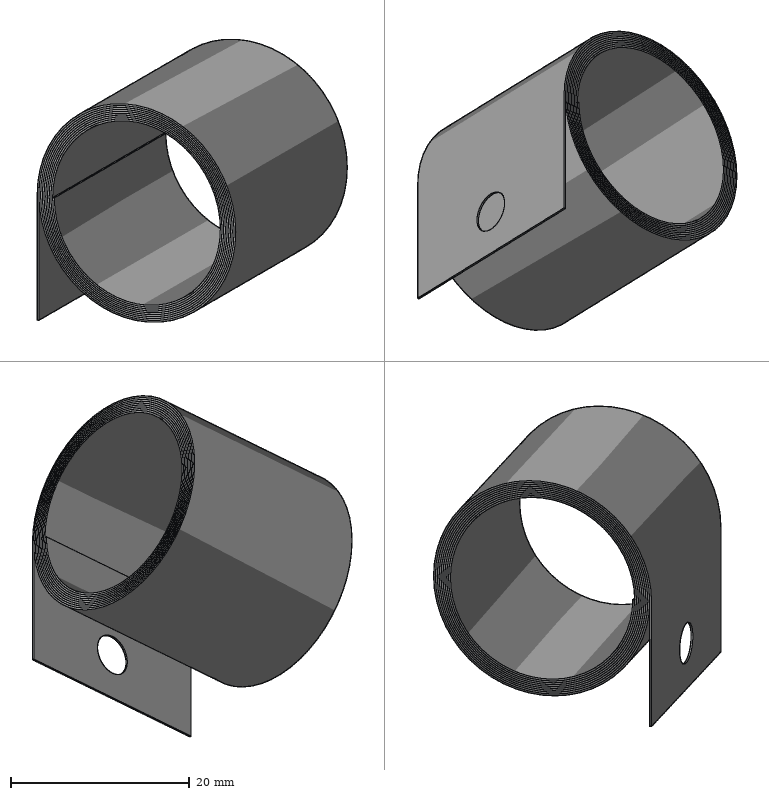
import cadquery as cq
import math

strip_width = 25.0
strip_thickness = 0.22
winding_gap = 0.003
turns = 9
bore_radius = 10.7
tail_length = 14.95
hole_diameter = 4.7
hole_to_tail_end = 5.52

pitch = strip_thickness + winding_gap
half_pitch = pitch / 2
tail_inner_x = -(bore_radius + turns * pitch)
tail_outer_x = tail_inner_x - strip_thickness


def arc_point(radius, center_z, angle):
    """Point in the XZ plane at an angle in degrees from +X toward +Z."""
    a = math.radians(angle)
    return (radius * math.cos(a), center_z + radius * math.sin(a))


def coil_arcs(start_radius):
    """Tangent arcs from the inner end to the tail, each as start, middle and end points.

    Half turns meet at the top and bottom. Left-hand arcs are centered on the
    origin; right-hand arcs are centered half a pitch above it.
    """
    arcs = []
    for turn in range(turns):
        left_radius = start_radius + turn * pitch
        right_radius = left_radius + half_pitch
        left_start = 180 if turn == 0 else 90
        left_angles = (left_start, (left_start + 270) / 2, 270)
        arcs.append([arc_point(left_radius, 0, a) for a in left_angles])
        arcs.append([arc_point(right_radius, half_pitch, a) for a in (-90, 0, 90)])
    final_radius = start_radius + turns * pitch
    arcs.append([arc_point(final_radius, 0, a) for a in (90, 135, 180)])
    return arcs


inner_arcs = coil_arcs(bore_radius)
outer_arcs = coil_arcs(bore_radius + strip_thickness)

outline = cq.Workplane("XZ").moveTo(*inner_arcs[0][0])
for _, middle, end in inner_arcs:
    outline = outline.threePointArc(middle, end)
outline = outline.lineTo(tail_inner_x, -tail_length)
outline = outline.lineTo(tail_outer_x, -tail_length)
outline = outline.lineTo(tail_outer_x, 0)
for start, middle, _ in reversed(outer_arcs):
    outline = outline.threePointArc(middle, start)
strip = outline.close().extrude(strip_width / 2, both=True)

hole_cutter = (
    cq.Workplane("YZ", origin=(tail_outer_x - strip_thickness, 0, hole_to_tail_end - tail_length))
    .circle(hole_diameter / 2)
    .extrude(3 * strip_thickness)
)

result = strip.cut(hole_cutter)